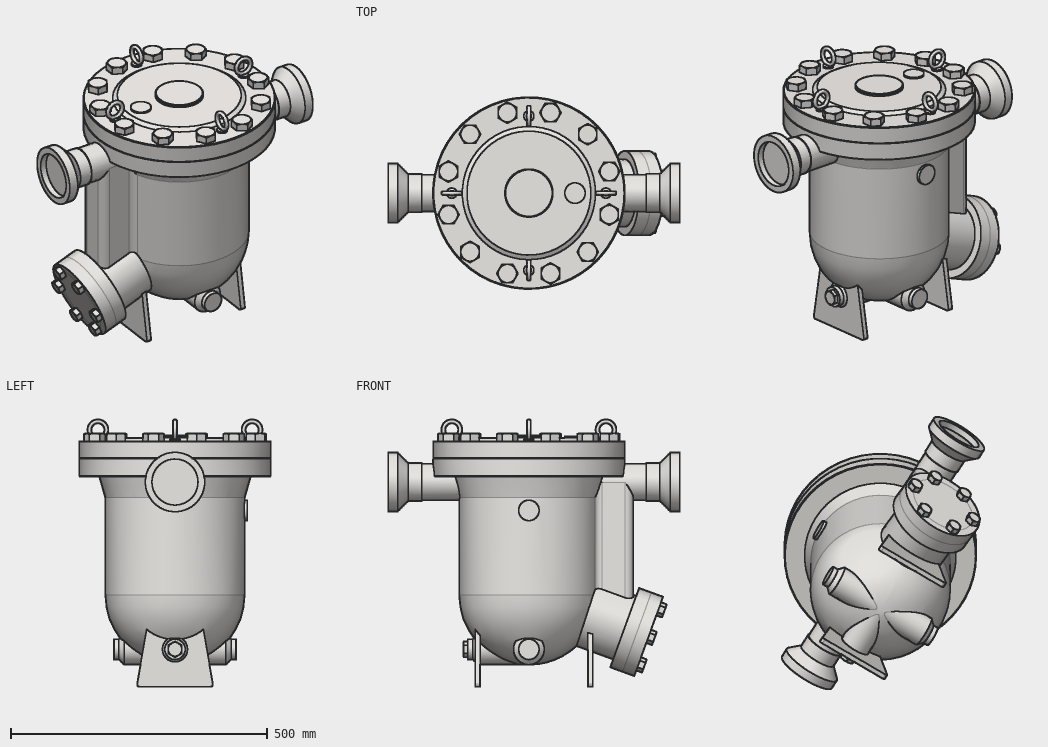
import cadquery as cq
import math


SHELL_RADIUS = 136.4
NECK_TOP_RADIUS = 148.0
NECK_BOTTOM_Z = -30.0
DOME_CENTRE_Z = -220.5
DOME_BOTTOM_Z = DOME_CENTRE_Z - SHELL_RADIUS

FLANGE_RADIUS = 375.0 / 2
FLANGE_EDGE_CHAMFER = 1.5
FLANGE_BOTTOM_Z = 10.5
GASKET_RADIUS = 286.0 / 2
GASKET_BOTTOM_Z = 45.5
COVER_BOTTOM_Z = 47.0
COVER_TOP_Z = 80.0
PANEL_BASE_RADIUS = 130.0
PANEL_TOP_RADIUS = 121.0
PANEL_TOP_Z = 86.0
CENTRE_PAD_RADIUS = 47.0
CENTRE_PAD_HEIGHT = 5.0
CENTRE_PAD_CHAMFER = 1.5
ROUND_PAD_RADIUS = 40.0 / 2
SIDE_PAD_X = 90.0
SIDE_PAD_HEIGHT = 3.0

COVER_BOLT_COUNT = 12
COVER_BOLT_CIRCLE_RADIUS = 162.5
COVER_BOLT_FLATS = 36.0
COVER_BOLT_HEAD_HEIGHT = 15.0

EYE_COUNT = 4
EYE_CIRCLE_RADIUS = 150.5
EYE_TOP_Z = 122.47
EYE_WIRE_RADIUS = 4.0
EYE_RING_RADIUS = 16.5
EYE_SEAT_RADIUS = 10.0
EYE_SEAT_HEIGHT = 3.0
EYE_NECK_TOP_RADIUS = 5.0

INLET_END_X = -275.0
OUTLET_END_X = 295.0
PIPE_RADIUS = 72.0 / 2
NOZZLE_FACE_RADIUS = 116.0 / 2
NOZZLE_RIM_LENGTH = 18.5
NOZZLE_COLLAR_RADIUS = 75.0 / 2
NOZZLE_COLLAR_END = 65.5
SOCKET_RADIUS = 90.0 / 2
SOCKET_DEPTH = 13.0

DUCT_HALF_WIDTH = PIPE_RADIUS
DUCT_OUTER_X = 203.8
DUCT_CORNER_RADIUS = 16.2
DUCT_ROOT_RADIUS = 14.2
DUCT_BOTTOM_Z = -270.0

STRAINER_TILT = 20.0
STRAINER_AXIS_Z = -216.3
STRAINER_TUBE_RADIUS = 132.0 / 2
STRAINER_FLANGE_RADIUS = 165.0 / 2
STRAINER_FLANGE_THICKNESS = 25.0
STRAINER_LENGTH = 249.0
STRAINER_BOLT_COUNT = 6
STRAINER_BOLT_CIRCLE_RADIUS = 66.0
STRAINER_BOLT_FLATS = 24.0
STRAINER_BOLT_HEAD_HEIGHT = 12.0

BOSS_RADIUS = 30.0
BOSS_DOME_OVERLAP = 0.3
BOSS_AXIS_Z = DOME_BOTTOM_Z + BOSS_RADIUS + BOSS_DOME_OVERLAP
BOSS_SHOULDER = 99.5
BOSS_END = 119.5
PLUG_FLATS = 27.0
PLUG_LENGTH = 8.5

FOOT_BOTTOM_Z = -400.0
FOOT_TOP_Z = -285.0
FOOT_THICKNESS = 10.0
FOOT_BOTTOM_WIDTH = 150.0
FOOT_TOP_WIDTH = 110.0
FOOT_CORNER_RADIUS = 5.0
FOOT_CENTRES_X = (-100.0, 120.0)

SHELL_PAD_Z = -55.4
SHELL_PAD_FACE_Y = -141.5


def disc(radius, bottom_z, top_z):
    return cq.Workplane("XY").workplane(offset=bottom_z).circle(radius).extrude(top_z - bottom_z)


def hex_head(flats, height):
    """Hexagon head with a vertex on +X and the top corners chamfered to a circle."""
    across_corners = flats / math.cos(math.radians(30))
    corner_cut = (across_corners - flats) / 2
    head = cq.Workplane("XY").polygon(6, across_corners).extrude(height)
    dressing = (
        cq.Workplane("XY")
        .circle(across_corners / 2)
        .extrude(height)
        .faces(">Z")
        .chamfer(corner_cut * math.tan(math.radians(30)), corner_cut)
    )
    return head.intersect(dressing)


def make_shell():
    profile = (
        cq.Workplane("XZ")
        .moveTo(0, FLANGE_BOTTOM_Z)
        .lineTo(NECK_TOP_RADIUS, FLANGE_BOTTOM_Z)
        .lineTo(SHELL_RADIUS, NECK_BOTTOM_Z)
        .lineTo(SHELL_RADIUS, DOME_CENTRE_Z)
        .radiusArc((0, DOME_BOTTOM_Z), SHELL_RADIUS)
        .close()
    )
    return profile.revolve(360, (0, 0, 0), (0, 1, 0))


def make_duct():
    """Flat-sided duct with rounded outer corners and concave roots onto the shell."""
    root_centre_y = DUCT_HALF_WIDTH + DUCT_ROOT_RADIUS
    reach = SHELL_RADIUS + DUCT_ROOT_RADIUS
    root_centre_x = math.sqrt(reach**2 - root_centre_y**2)
    touch_x = root_centre_x * SHELL_RADIUS / reach
    touch_y = root_centre_y * SHELL_RADIUS / reach
    flat_end_x = DUCT_OUTER_X - DUCT_CORNER_RADIUS
    corner_y = DUCT_HALF_WIDTH - DUCT_CORNER_RADIUS
    profile = (
        cq.Workplane("XY")
        .moveTo(0, -touch_y)
        .lineTo(touch_x, -touch_y)
        .radiusArc((root_centre_x, -DUCT_HALF_WIDTH), DUCT_ROOT_RADIUS)
        .lineTo(flat_end_x, -DUCT_HALF_WIDTH)
        .radiusArc((DUCT_OUTER_X, -corner_y), -DUCT_CORNER_RADIUS)
        .lineTo(DUCT_OUTER_X, corner_y)
        .radiusArc((flat_end_x, DUCT_HALF_WIDTH), -DUCT_CORNER_RADIUS)
        .lineTo(root_centre_x, DUCT_HALF_WIDTH)
        .radiusArc((touch_x, touch_y), DUCT_ROOT_RADIUS)
        .lineTo(0, touch_y)
        .close()
    )
    return profile.extrude(DUCT_BOTTOM_Z)


def strainer_plane(distance):
    """Plane square to the tilted strainer axis, X of the plane along global Y."""
    tilt = math.radians(STRAINER_TILT)
    axis = (math.cos(tilt), 0, -math.sin(tilt))
    origin = (distance * axis[0], 0, STRAINER_AXIS_Z + distance * axis[2])
    return cq.Plane(origin=origin, xDir=(0, 1, 0), normal=axis)


def make_strainer_tube():
    return cq.Workplane(strainer_plane(0)).circle(STRAINER_TUBE_RADIUS).extrude(STRAINER_LENGTH)


def make_strainer_flanges():
    flanges = None
    for step in (2, 1):
        start = strainer_plane(STRAINER_LENGTH - step * STRAINER_FLANGE_THICKNESS)
        ring = cq.Workplane(start).circle(STRAINER_FLANGE_RADIUS).extrude(STRAINER_FLANGE_THICKNESS)
        flanges = ring if flanges is None else flanges.union(ring, clean=False)
    head = hex_head(STRAINER_BOLT_FLATS, STRAINER_BOLT_HEAD_HEIGHT)
    head = head.rotate((0, 0, 0), (0, 0, 1), 30)
    face = strainer_plane(STRAINER_LENGTH)
    for index in range(STRAINER_BOLT_COUNT):
        bolt = head.translate((STRAINER_BOLT_CIRCLE_RADIUS, 0, 0))
        bolt = bolt.rotate((0, 0, 0), (0, 0, 1), index * 360 / STRAINER_BOLT_COUNT)
        flanges = flanges.union(cq.Workplane(bolt.val().moved(face.location)), clean=False)
    return flanges


def make_boss(angle):
    """Horizontal boss under the dome, coned down to a round end."""
    shoulder_run = BOSS_RADIUS - ROUND_PAD_RADIUS
    profile = (
        cq.Workplane("XY")
        .lineTo(0, BOSS_RADIUS)
        .lineTo(BOSS_SHOULDER, BOSS_RADIUS)
        .lineTo(BOSS_SHOULDER + shoulder_run, ROUND_PAD_RADIUS)
        .lineTo(BOSS_END, ROUND_PAD_RADIUS)
        .lineTo(BOSS_END, 0)
        .close()
    )
    boss = profile.revolve(360, (0, 0, 0), (1, 0, 0))
    return boss.rotate((0, 0, 0), (0, 0, 1), angle).translate((0, 0, BOSS_AXIS_Z))


def make_plug():
    head = hex_head(PLUG_FLATS, PLUG_LENGTH)
    return head.rotate((0, 0, 0), (0, 1, 0), -90).translate((-BOSS_END, 0, BOSS_AXIS_Z))


def make_foot(centre_x):
    plate = (
        cq.Workplane("YZ", origin=(centre_x - FOOT_THICKNESS / 2, 0, 0))
        .moveTo(-FOOT_BOTTOM_WIDTH / 2, FOOT_BOTTOM_Z)
        .lineTo(FOOT_BOTTOM_WIDTH / 2, FOOT_BOTTOM_Z)
        .lineTo(FOOT_TOP_WIDTH / 2, FOOT_TOP_Z)
        .lineTo(-FOOT_TOP_WIDTH / 2, FOOT_TOP_Z)
        .close()
        .extrude(FOOT_THICKNESS)
    )
    return plate.edges("|X and <Z").fillet(FOOT_CORNER_RADIUS)


def make_nozzle(end_x):
    """Pipe from the vessel axis to end_x with a collar, a flared rim and a socket."""
    length = abs(end_x)
    flare = NOZZLE_FACE_RADIUS - NOZZLE_COLLAR_RADIUS
    profile = (
        cq.Workplane("XY")
        .lineTo(0, PIPE_RADIUS)
        .lineTo(length - NOZZLE_COLLAR_END, PIPE_RADIUS)
        .lineTo(length - NOZZLE_COLLAR_END, NOZZLE_COLLAR_RADIUS)
        .lineTo(length - NOZZLE_RIM_LENGTH - flare, NOZZLE_COLLAR_RADIUS)
        .lineTo(length - NOZZLE_RIM_LENGTH, NOZZLE_FACE_RADIUS)
        .lineTo(length, NOZZLE_FACE_RADIUS)
        .lineTo(length, SOCKET_RADIUS)
        .lineTo(length - SOCKET_DEPTH, SOCKET_RADIUS)
        .lineTo(length - SOCKET_DEPTH, 0)
        .close()
    )
    nozzle = profile.revolve(360, (0, 0, 0), (1, 0, 0))
    return nozzle if end_x > 0 else nozzle.rotate((0, 0, 0), (0, 0, 1), 180)


def make_cover():
    flange = disc(FLANGE_RADIUS, FLANGE_BOTTOM_Z, GASKET_BOTTOM_Z)
    flange = flange.faces("<Z").edges().chamfer(FLANGE_EDGE_CHAMFER)
    gasket = disc(GASKET_RADIUS, GASKET_BOTTOM_Z, COVER_BOTTOM_Z)
    plate = disc(FLANGE_RADIUS, COVER_BOTTOM_Z, COVER_TOP_Z)
    plate = plate.faces(">Z").edges().chamfer(FLANGE_EDGE_CHAMFER)
    panel = (
        cq.Workplane("XZ")
        .moveTo(0, COVER_TOP_Z)
        .lineTo(PANEL_BASE_RADIUS, COVER_TOP_Z)
        .lineTo(PANEL_TOP_RADIUS, PANEL_TOP_Z)
        .lineTo(0, PANEL_TOP_Z)
        .close()
        .revolve(360, (0, 0, 0), (0, 1, 0))
    )
    pad = disc(CENTRE_PAD_RADIUS, PANEL_TOP_Z, PANEL_TOP_Z + CENTRE_PAD_HEIGHT)
    pad = pad.faces(">Z").chamfer(CENTRE_PAD_CHAMFER)
    side_pad = disc(ROUND_PAD_RADIUS, PANEL_TOP_Z, PANEL_TOP_Z + SIDE_PAD_HEIGHT).translate((SIDE_PAD_X, 0, 0))
    return flange.union(gasket).union(plate).union(panel).union(pad).union(side_pad)


def make_cover_bolts():
    step = 360 / COVER_BOLT_COUNT
    head = hex_head(COVER_BOLT_FLATS, COVER_BOLT_HEAD_HEIGHT)
    head = head.rotate((0, 0, 0), (0, 0, 1), -step / 2)
    head = head.translate((COVER_BOLT_CIRCLE_RADIUS, 0, COVER_TOP_Z))
    return [head.rotate((0, 0, 0), (0, 0, 1), (index + 0.5) * step) for index in range(COVER_BOLT_COUNT)]


def make_eye_bolts():
    ring_centre_z = EYE_TOP_Z - EYE_RING_RADIUS - EYE_WIRE_RADIUS
    ring = (
        cq.Workplane("XY", origin=(0, 0, ring_centre_z))
        .center(EYE_RING_RADIUS, 0)
        .circle(EYE_WIRE_RADIUS)
        .revolve(360, (-EYE_RING_RADIUS, 0, 0), (-EYE_RING_RADIUS, 1, 0))
    )
    neck_top_z = ring_centre_z - EYE_RING_RADIUS
    neck = (
        cq.Workplane("XZ")
        .moveTo(0, COVER_TOP_Z)
        .lineTo(EYE_SEAT_RADIUS, COVER_TOP_Z)
        .lineTo(EYE_SEAT_RADIUS, COVER_TOP_Z + EYE_SEAT_HEIGHT)
        .lineTo(EYE_NECK_TOP_RADIUS, neck_top_z)
        .lineTo(0, neck_top_z)
        .close()
        .revolve(360, (0, 0, 0), (0, 1, 0))
    )
    eye = neck.union(ring).translate((EYE_CIRCLE_RADIUS, 0, 0))
    return [eye.rotate((0, 0, 0), (0, 0, 1), index * 360 / EYE_COUNT) for index in range(EYE_COUNT)]


def make_shell_pad():
    return (
        cq.Workplane("XZ", origin=(0, SHELL_PAD_FACE_Y, SHELL_PAD_Z))
        .circle(ROUND_PAD_RADIUS)
        .extrude(-SHELL_RADIUS / 2)
    )


result = make_shell().union(make_duct()).union(make_strainer_tube())
for boss_angle in (90, 180, 270):
    result = result.union(make_boss(boss_angle))
for foot_x in FOOT_CENTRES_X:
    result = result.union(make_foot(foot_x))
result = result.union(make_nozzle(INLET_END_X)).union(make_nozzle(OUTLET_END_X))
result = result.union(make_shell_pad()).union(make_plug()).union(make_cover())
for bolt in make_cover_bolts() + make_eye_bolts():
    result = result.union(bolt)
result = result.union(make_strainer_flanges(), clean=False)